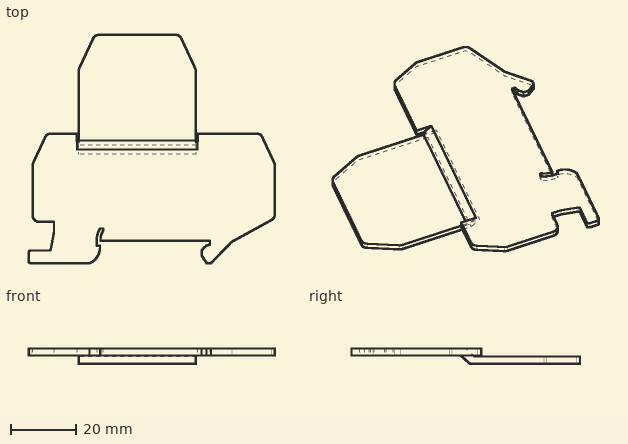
import cadquery as cq
import math

total_length = 75.45
total_depth = 70.0
total_height = 4.75
sheet_thickness = 2.3
plate_bottom = total_height - sheet_thickness

body_left = 1.2
body_right = total_length
plate_back = 39.75
shoulder_start = 30.4
shoulder_angle = math.radians(25)
shoulder_radius = 1.95
body_front = 12.7
body_corner_radius = 2.0

foot_back = 4.0
foot_corner_radius = 0.75
neck_left = 7.8
neck_taper_back = 9.65
neck_taper_front = 4.45
neck_corner_radius = 0.4
neck_front_left = 6.8
toe_start = 18.7
toe_arc_middle = (21.1, 2.1)
toe_right = 21.9
toe_back = 5.4
slit_left = 20.9
slit_back = 10.65
slit_curve_front = 7.55
slit_left_middle = (21.2, 9.05)
slit_back_left = 21.9
slit_back_right = 22.8
slit_right_corner = (22.85, 10.1)
slit_right_middle = (22.25, 8.8)
slit_mouth_right = 21.95
rail_edge = 6.9

hook_back_x = 55.5
hook_back_y = 5.8
hook_barb = (54.4, 5.4)
hook_nose_x = 53.0
hook_nose_back = 4.0
hook_nose_front = 2.4
hook_tip_left = 54.55
hook_tip_right = 55.8
hook_outer_corner = (62.25, 6.6)
body_right_front = 13.8

notch_left = 14.8
notch_right = 51.75
notch_front = 34.9
side_clearance = 0.5
tab_left = notch_left + side_clearance
tab_right = notch_right - side_clearance
tab_shoulder_start = 59.4
tab_top = sheet_thickness
ramp_underside_front = 33.5
ramp_angle = math.radians(42)


def shoulder_width(height):
    """Sideways run of a sloping shoulder that rises by height."""
    return height * math.tan(shoulder_angle)


def round_corners(solid, points, radius):
    """Round the upright edges that stand at the given plan points."""
    reach = 0.1
    for x, y in points:
        lower = (x - reach, y - reach, -reach)
        upper = (x + reach, y + reach, total_height + reach)
        near_corner = cq.selectors.BoxSelector(lower, upper)
        solid = solid.edges(near_corner).edges("|Z").fillet(radius)
    return solid


def ramp_run(drop):
    """Distance along Y in which the ramp descends by drop."""
    return drop / math.tan(ramp_angle)


def make_plate():
    inset = shoulder_width(plate_back - shoulder_start)
    plate = (
        cq.Workplane("XY", origin=(0, 0, plate_bottom))
        .moveTo(0, 0)
        .lineTo(toe_start, 0)
        .threePointArc(toe_arc_middle, (toe_right, toe_back))
        .lineTo(slit_left, toe_back)
        .lineTo(slit_left, slit_curve_front)
        .threePointArc(slit_left_middle, (slit_back_left, slit_back))
        .lineTo(slit_back_right, slit_back)
        .lineTo(*slit_right_corner)
        .threePointArc(slit_right_middle, (slit_mouth_right, rail_edge))
        .lineTo(hook_back_x, rail_edge)
        .lineTo(hook_back_x, hook_back_y)
        .lineTo(*hook_barb)
        .lineTo(hook_nose_x, hook_nose_back)
        .lineTo(hook_nose_x, hook_nose_front)
        .lineTo(hook_tip_left, 0)
        .lineTo(hook_tip_right, 0)
        .lineTo(*hook_outer_corner)
        .lineTo(body_right, body_right_front)
        .lineTo(body_right, shoulder_start)
        .lineTo(body_right - inset, plate_back)
        .lineTo(notch_right, plate_back)
        .lineTo(notch_right, notch_front)
        .lineTo(notch_left, notch_front)
        .lineTo(notch_left, plate_back)
        .lineTo(body_left + inset, plate_back)
        .lineTo(body_left, shoulder_start)
        .lineTo(body_left, body_front)
        .lineTo(neck_left, body_front)
        .lineTo(neck_left, neck_taper_back)
        .lineTo(neck_front_left, neck_taper_front)
        .lineTo(neck_front_left, foot_back)
        .lineTo(0, foot_back)
        .close()
        .extrude(sheet_thickness)
    )
    shoulder_corners = [
        (body_left, shoulder_start),
        (body_left + inset, plate_back),
        (body_right - inset, plate_back),
        (body_right, shoulder_start),
    ]
    plate = round_corners(plate, shoulder_corners, shoulder_radius)
    body_corners = [(body_left, body_front), (body_right, body_right_front)]
    plate = round_corners(plate, body_corners, body_corner_radius)
    plate = round_corners(plate, [(neck_front_left, foot_back)], neck_corner_radius)
    return round_corners(plate, [(0, 0), (0, foot_back)], foot_corner_radius)


def make_tab():
    inset = shoulder_width(total_depth - tab_shoulder_start)
    outline = [
        (tab_left, ramp_underside_front),
        (tab_right, ramp_underside_front),
        (tab_right, tab_shoulder_start),
        (tab_right - inset, total_depth),
        (tab_left + inset, total_depth),
        (tab_left, tab_shoulder_start),
    ]
    tab = cq.Workplane("XY").polyline(outline).close().extrude(total_height)
    tab = round_corners(tab, outline[2:], shoulder_radius)

    profile = [
        (ramp_underside_front, plate_bottom),
        (ramp_underside_front + ramp_run(plate_bottom), 0),
        (total_depth, 0),
        (total_depth, tab_top),
        (notch_front + ramp_run(total_height - tab_top), tab_top),
        (notch_front, total_height),
        (ramp_underside_front, total_height),
    ]
    stepped = cq.Workplane("YZ").polyline(profile).close().extrude(total_length)
    return tab.intersect(stepped)


def make_ramp_filler():
    """Wedge that carries the ramp across the full notch width, within the plate thickness."""
    wedge = [
        (notch_front, plate_bottom),
        (notch_front + ramp_run(sheet_thickness), plate_bottom),
        (notch_front, total_height),
    ]
    return (
        cq.Workplane("YZ", origin=(notch_left, 0, 0))
        .polyline(wedge)
        .close()
        .extrude(notch_right - notch_left)
    )


result = make_plate().union(make_tab()).union(make_ramp_filler()).clean()